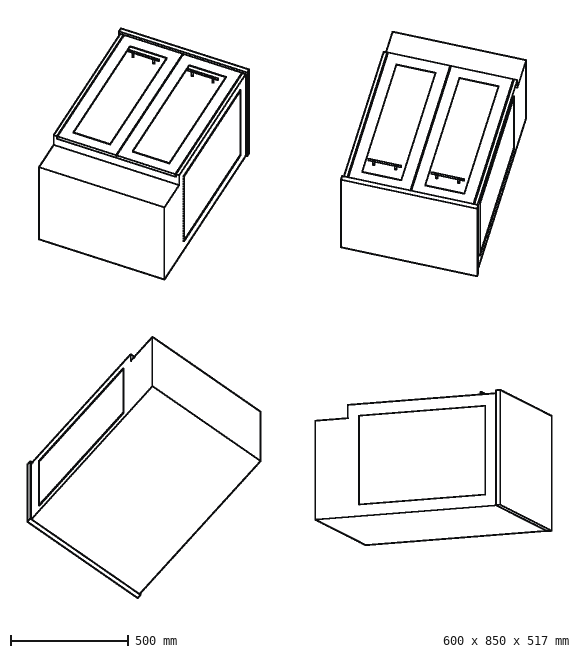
import cadquery as cq

LENGTH = 850.0
TOP_WIDTH = 600.0
TOTAL_HEIGHT = 517.0

TOP_THICKNESS = 20.0
TOP_HEIGHT = 500.0

CARCASS_WIDTH = 588.0
CARCASS_HEIGHT = 488.0
KICK_LENGTH = 150.0
KICK_HEIGHT = 430.0
SIDE_THICKNESS = 15.0

DOOR_THICKNESS = 15.0
DOOR_GAP = 3.0

FRAME_WIDTH = 51.0
PANEL_DEPTH = 3.0

HANDLE_LENGTH = 144.5
HANDLE_DIAMETER = 8.0
HANDLE_FROM_END = 122.0
POST_DIAMETER = 7.0
POST_SPACING = 97.0

front_y = -LENGTH / 2
back_y = LENGTH / 2
carcass_back_y = back_y - TOP_THICKNESS
step_y = front_y + KICK_LENGTH
door_length = carcass_back_y - step_y
door_center_y = (carcass_back_y + step_y) / 2
door_bottom_z = CARCASS_HEIGHT - DOOR_THICKNESS
door_bay_width = CARCASS_WIDTH - 2 * SIDE_THICKNESS
door_width = (door_bay_width - 3 * DOOR_GAP) / 2
door_center_x = (door_width + DOOR_GAP) / 2
panel_length = door_length - 2 * FRAME_WIDTH
panel_floor_z = CARCASS_HEIGHT - PANEL_DEPTH


def block(width, length, height, x, y, bottom_z):
    """Box centred on x and y, standing on bottom_z."""
    return (
        cq.Workplane("XY")
        .box(width, length, height, centered=(True, True, False))
        .translate((x, y, bottom_z))
    )


def make_worktop():
    return block(TOP_WIDTH, TOP_THICKNESS, TOP_HEIGHT, 0, back_y - TOP_THICKNESS / 2, 0)


def make_carcass():
    body = (
        cq.Workplane("YZ")
        .moveTo(front_y, 0)
        .lineTo(carcass_back_y, 0)
        .lineTo(carcass_back_y, CARCASS_HEIGHT)
        .lineTo(step_y, CARCASS_HEIGHT)
        .lineTo(step_y, KICK_HEIGHT)
        .lineTo(front_y, KICK_HEIGHT)
        .close()
        .extrude(CARCASS_WIDTH / 2, both=True)
    )
    body = body.cut(
        block(door_bay_width, door_length, DOOR_THICKNESS, 0, door_center_y, door_bottom_z)
    )
    panel_height = CARCASS_HEIGHT - 2 * FRAME_WIDTH
    for side in (-1, 1):
        side_x = side * CARCASS_WIDTH / 2
        body = body.cut(
            block(2 * PANEL_DEPTH, panel_length, panel_height, side_x, door_center_y, FRAME_WIDTH)
        )
    return body


def make_door(x):
    door = block(door_width, door_length, DOOR_THICKNESS, x, door_center_y, door_bottom_z)
    panel_width = door_width - 2 * FRAME_WIDTH
    return door.cut(
        block(panel_width, panel_length, PANEL_DEPTH, x, door_center_y, panel_floor_z)
    )


def make_handle(x):
    y = back_y - HANDLE_FROM_END
    bar_z = TOTAL_HEIGHT - HANDLE_DIAMETER / 2
    handle = (
        cq.Workplane("YZ")
        .circle(HANDLE_DIAMETER / 2)
        .extrude(HANDLE_LENGTH / 2, both=True)
        .translate((x, y, bar_z))
    )
    for side in (-1, 1):
        post = (
            cq.Workplane("XY")
            .circle(POST_DIAMETER / 2)
            .extrude(bar_z - panel_floor_z)
            .translate((x + side * POST_SPACING / 2, y, panel_floor_z))
        )
        handle = handle.union(post)
    return handle


worktop = make_worktop()
carcass = make_carcass()
doors = []
handles = []
for door_x in (-door_center_x, door_center_x):
    doors.append(make_door(door_x).solids().val())
    handles.append(make_handle(door_x).solids().val())

result = cq.Compound.makeCompound([worktop.solids().val(), carcass.solids().val(), *doors, *handles])